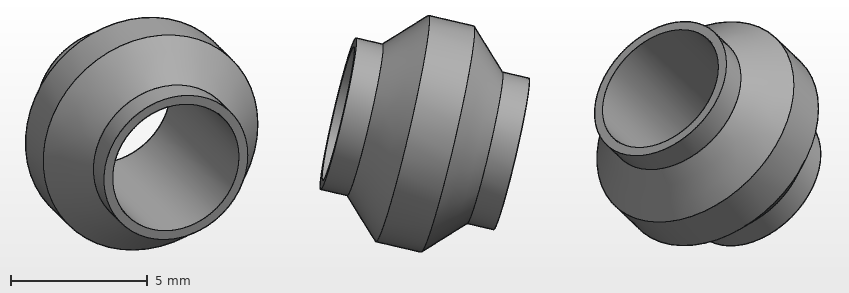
import cadquery as cq

length = 6.5
rim_diameter = 8.5
neck_diameter = 5.695
bore_diameter = 5.0
rim_width = 1.7

rim_radius = rim_diameter / 2
neck_radius = neck_diameter / 2
bore_radius = bore_diameter / 2
half_length = length / 2
half_rim = rim_width / 2
cone_length = rim_radius - neck_radius
cone_foot = half_rim + cone_length

section = (
    cq.Workplane("XY")
    .moveTo(-half_length, bore_radius)
    .lineTo(-half_length, neck_radius)
    .lineTo(-cone_foot, neck_radius)
    .lineTo(-half_rim, rim_radius)
    .lineTo(half_rim, rim_radius)
    .lineTo(cone_foot, neck_radius)
    .lineTo(half_length, neck_radius)
    .lineTo(half_length, bore_radius)
    .close()
)

result = section.revolve(360, (0, 0, 0), (1, 0, 0))